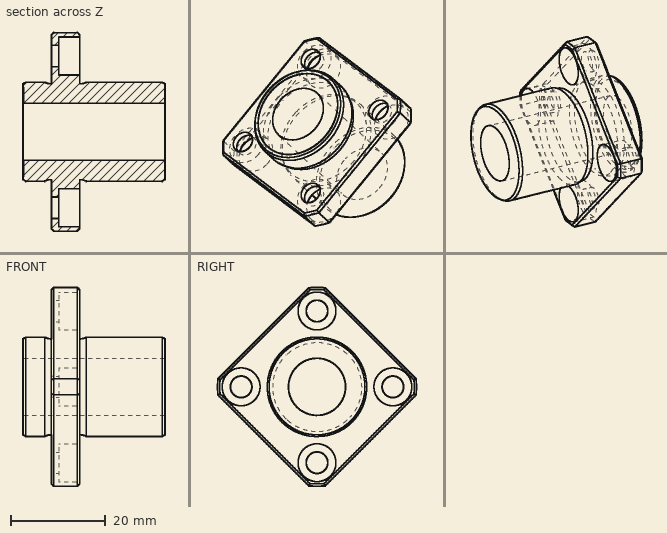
import cadquery as cq
import math

length = 30.0
sleeve_diameter = 21.0
bore_diameter = 12.0
end_chamfer_length = 0.65
end_chamfer_angle = 30.0

end_recess_diameter = 18.8
end_recess_depth = 0.1

flange_start = 6.0
flange_thickness = 6.0
flange_square = 32.0
flange_tilt = 45.0
flange_diameter = 42.0
flange_chamfer = 0.5

relief_width = 1.4
relief_depth = 0.36

hole_count = 4
hole_circle_diameter = 32.0
hole_diameter = 4.5
counterbore_diameter = 8.0
counterbore_depth = 4.4

sleeve_radius = sleeve_diameter / 2
end_chamfer_height = end_chamfer_length * math.tan(math.radians(end_chamfer_angle))
flange_end = flange_start + flange_thickness
relief_floor_radius = sleeve_radius - relief_depth
relief_arc_radius = (relief_width**2 + relief_depth**2) / (2 * relief_depth)


def relief_arc_middle(flange_face, direction):
    """Point half way along the relief arc on one side of the flange."""
    offset = relief_width / 2
    rise = relief_arc_radius - math.sqrt(relief_arc_radius**2 - offset**2)
    return (flange_face + direction * offset, relief_floor_radius + rise)


def make_sleeve():
    """Solid sleeve with chamfered ends and a relief on each side of the flange."""
    end_radius = sleeve_radius - end_chamfer_height
    return (
        cq.Workplane("XY")
        .lineTo(0, end_radius)
        .lineTo(end_chamfer_length, sleeve_radius)
        .lineTo(flange_start - relief_width, sleeve_radius)
        .threePointArc(relief_arc_middle(flange_start, -1), (flange_start, relief_floor_radius))
        .lineTo(flange_end, relief_floor_radius)
        .threePointArc(relief_arc_middle(flange_end, 1), (flange_end + relief_width, sleeve_radius))
        .lineTo(length - end_chamfer_length, sleeve_radius)
        .lineTo(length, end_radius)
        .lineTo(length, 0)
        .close()
        .revolve(360, (0, 0, 0), (1, 0, 0))
    )


def make_flange():
    """Square plate trimmed to a disc at its corners and chamfered on both faces."""
    face = cq.Workplane("YZ", origin=(flange_start, 0, 0))
    square = (
        face.rect(flange_square, flange_square)
        .extrude(flange_thickness)
        .rotate((0, 0, 0), (1, 0, 0), flange_tilt)
    )
    disc = face.circle(flange_diameter / 2).extrude(flange_thickness)
    return square.intersect(disc).faces("<X or >X").chamfer(flange_chamfer)


def hole_ring(diameter, start, depth):
    """Cylinders along +X from the given start, one at each screw position."""
    return (
        cq.Workplane("YZ", origin=(start, 0, 0))
        .polarArray(hole_circle_diameter / 2, 0, 360, hole_count)
        .circle(diameter / 2)
        .extrude(depth)
    )


def cut_screw_holes(body):
    """Screw holes through the flange, counterbored from its +X face."""
    holes = hole_ring(hole_diameter, flange_start, flange_thickness)
    counterbores = hole_ring(counterbore_diameter, flange_end - counterbore_depth, counterbore_depth)
    return body.cut(holes).cut(counterbores)


def cut_bore(body):
    """Shaft bore along the whole sleeve."""
    bore = cq.Workplane("YZ").circle(bore_diameter / 2).extrude(length)
    return body.cut(bore)


def cut_end_recess(body):
    """Shallow recess around the bore in the -X end face."""
    recess = cq.Workplane("YZ").circle(end_recess_diameter / 2).extrude(end_recess_depth)
    return body.cut(recess)


flange = cut_screw_holes(make_flange())
body = cut_bore(make_sleeve().union(flange))
result = cut_end_recess(body)